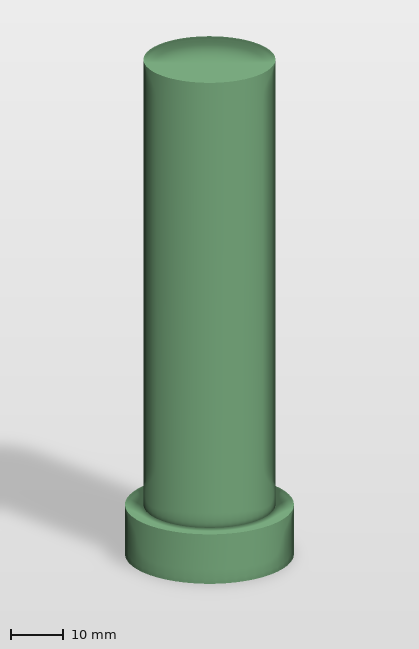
import cadquery as cq

total_length = 100.0
head_diameter = 32.0
head_height = 10.0
shank_diameter = 25.0
shank_length = total_length - head_height


def make_head():
    """Round disc with its lower face at Z = 0."""
    return cq.Workplane("XY").circle(head_diameter / 2).extrude(head_height)


def add_shank(body):
    """Concentric cylinder rising from the top face of the head."""
    return body.faces(">Z").workplane().circle(shank_diameter / 2).extrude(shank_length)


result = add_shank(make_head())